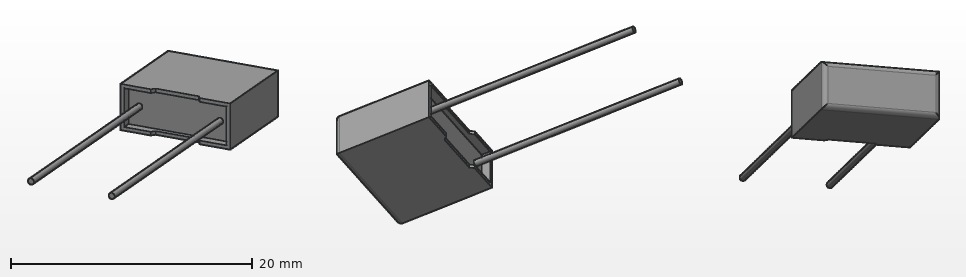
import cadquery as cq

total_length = 28.1
case_width = 10.2
case_depth = 9.1
case_height = 4.1

wall = 0.35
back_fillet = 0.45
notch_floor_width = 4.0
notch_mouth_width = 4.55
notch_depth = 0.35

resin_recess = 0.81
lead_diameter = 0.55
lead_pitch = 7.5

lead_tip_y = case_depth - total_length
cavity_width = case_width - 2 * wall
cavity_height = case_height - 2 * wall
cavity_back_y = case_depth - wall


def block_along_y(width, height, start_y, end_y):
    """Rectangular block centred on the Y axis between two Y positions."""
    return cq.Workplane("XY").box(
        width, end_y - start_y, height, centered=(True, False, True)
    ).translate((0, start_y, 0))


def rim_notch():
    """Tapered cutter that relieves the rim of both broad walls."""
    half_mouth = notch_mouth_width / 2
    half_floor = notch_floor_width / 2
    return (
        cq.Workplane("XY")
        .moveTo(-half_mouth, 0)
        .lineTo(half_mouth, 0)
        .lineTo(half_floor, notch_depth)
        .lineTo(-half_floor, notch_depth)
        .close()
        .extrude(case_height, both=True)
    )


def make_case():
    """Open box with a rounded closed end and a notched rim."""
    shell = block_along_y(case_width, case_height, 0, case_depth)
    shell = shell.faces(">Y").edges().fillet(back_fillet)
    cavity = block_along_y(cavity_width, cavity_height, 0, cavity_back_y)
    return shell.cut(cavity).cut(rim_notch())


def make_resin():
    """Potting block that fills the cavity to just below the rim."""
    return block_along_y(cavity_width, cavity_height, resin_recess, cavity_back_y)


def make_lead(x):
    """Round wire running from the resin face to the tip."""
    return (
        cq.Workplane("XZ", origin=(x, resin_recess, 0))
        .circle(lead_diameter / 2)
        .extrude(resin_recess - lead_tip_y)
    )


case = make_case()
resin = make_resin()
leads = [make_lead(side * lead_pitch / 2) for side in (-1, 1)]

result = cq.Compound.makeCompound(
    [case.val(), resin.val(), *[lead.val() for lead in leads]]
)